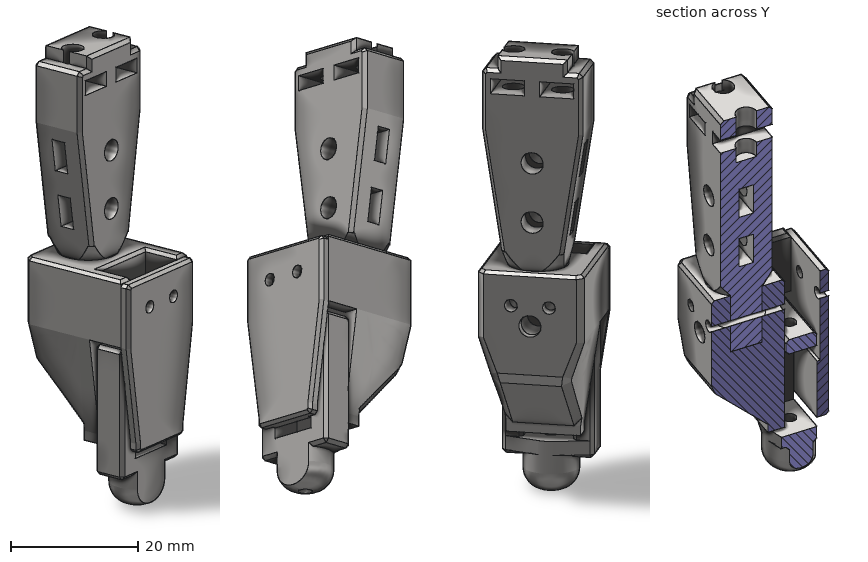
import cadquery as cq
import math


TOTAL_HEIGHT = 74.7
BODY_WIDTH = 17.0
HOUSING_FRONT_X = -10.4
COVER_OUTER_X = 10.4
COVER_INNER_X = 8.8
HOUSING_TOP_Z = 39.9
TAPER_START_Z = 28.8
TAPER_END_Z = 12.25
BODY_BOTTOM_Z = 10.7
BODY_BOTTOM_WIDTH = 11.95
EDGE_CHAMFER = 0.5
SELECT_MARGIN = 0.1
CUT_LENGTH = 149.45

SCREW_DIAMETER = 2.0
SCREW_SPACING = 6.1
SCREW_Z = 34.45
LOCK_HOLE_DIAMETER = 3.5
LOCK_HOLE_Z = 31.2

LEG_X = -4.2
LEG_DEPTH = 9.2
LEG_WIDTH = 16.15
LEG_CHAMFER = 0.6
LEG_SHOULDER_Z = 72.6
LEG_TAPER_Z = 62.55
LEG_BASE_WIDTH = 9.1
TAB_WIDTH = 11.2
NECK_RADIUS = 4.85
NECK_HEIGHT = 2.85
NECK_FLARE_RADIUS = 6.3
LEG_HOLE_DIAMETER = 3.5
CROSS_HOLE_LEVELS = (57.5, 47.8)
TOP_HOLE_SPACING = 7.9
TOP_HOLE_DEPTH = 9.0
NUT_SLOT_LENGTH = 5.45
NUT_SLOT_HEIGHT = 2.5
TOP_SLOT_Z = 69.8

FRONT_CHAMFER = 1.05
SKIRT_FRONT_BOTTOM_Z = 22.2
SKIRT_BACK_TOP_X = 0.4
SKIRT_BACK_BOTTOM_X = -0.4
BLOCK_BACK_X = 2.6
POCKET_WIDTH = 11.95

FOOT_X = 5.5
FOOT_DEPTH = 5.5
FOOT_WIDTH = 14.8
FOOT_BOTTOM_Z = 6.05
FOOT_TOP_Z = 27.7
FOOT_CHAMFER = 0.6
FOOT_BAR_HEIGHT = 2.9
FOOT_WINDOW_WIDTH = 8.1
TIP_RADIUS = 4.5
TIP_DOME_HEIGHT = 3.6
FOOT_HOLE_DIAMETER = 2.2

PAD_WIDTH = 7.9
PAD_TOP_Z = 21.8


def box_between(x_range, y_width, z_range):
    """Box centred on Y = 0 between two X and two Z values."""
    return cq.Workplane("XY").box(
        x_range[1] - x_range[0], y_width, z_range[1] - z_range[0], centered=(False, True, False)
    ).translate((x_range[0], 0, z_range[0]))


def prism_along_x(points, x_start, x_end):
    """Closed (Y, Z) outline carried along X."""
    return cq.Workplane("YZ", origin=(x_start, 0, 0)).polyline(points).close().extrude(x_end - x_start)


def mirrored(points):
    """Complete a (Y, Z) half outline, listed from bottom to top, with its -Y half."""
    return points + [(-y, z) for y, z in reversed(points)]


def cylinder_along_x(diameter, x_start, x_end, y, z):
    return cq.Workplane("YZ", origin=(x_start, y, z)).circle(diameter / 2).extrude(x_end - x_start)


def cylinder_along_z(diameter, x, y, z_start, z_end):
    return cq.Workplane("XY", origin=(x, y, z_start)).circle(diameter / 2).extrude(z_end - z_start)


def screw_holes():
    """Pair of screw holes along X, shared by housing, leg and cover."""
    holes = cq.Workplane("XY")
    for side in (-1, 1):
        holes = holes.add(cylinder_along_x(
            SCREW_DIAMETER, -CUT_LENGTH / 2, CUT_LENGTH / 2, side * SCREW_SPACING / 2, SCREW_Z))
    return holes.combine()


def lock_hole():
    """Blind hole from the housing front to the leg axis."""
    return cylinder_along_x(LOCK_HOLE_DIAMETER, HOUSING_FRONT_X, LEG_X, 0, LOCK_HOLE_Z)


def neck_peg():
    """Round peg at the foot of the leg; it fills the housing bore."""
    return cylinder_along_z(2 * NECK_RADIUS, LEG_X, 0, TAPER_START_Z, HOUSING_TOP_Z)


def leg_blank():
    outline = mirrored([
        (LEG_BASE_WIDTH / 2, HOUSING_TOP_Z),
        (LEG_WIDTH / 2, LEG_TAPER_Z),
        (LEG_WIDTH / 2, LEG_SHOULDER_Z),
        (TAB_WIDTH / 2, LEG_SHOULDER_Z),
        (TAB_WIDTH / 2, TOTAL_HEIGHT),
    ])
    blank = prism_along_x(outline, LEG_X - LEG_DEPTH / 2, LEG_X + LEG_DEPTH / 2)
    shoulder_edges = blank.faces("|Z").edges("|X")
    outer_edges = [edge for edge in shoulder_edges.vals()
                   if abs(edge.Center().y) > LEG_WIDTH / 2 - SELECT_MARGIN]
    blank = blank.newObject(outer_edges).chamfer(LEG_CHAMFER)
    return blank.faces("<X or >X").edges("not <Z").chamfer(LEG_CHAMFER)


def neck_turning():
    """Conical ring that trims the leg's square corners down to the round neck."""
    flare_z = HOUSING_TOP_Z + NECK_HEIGHT
    return (
        cq.Workplane("XZ")
        .polyline([
            (NECK_RADIUS, HOUSING_TOP_Z),
            (NECK_FLARE_RADIUS, flare_z),
            (LEG_WIDTH, flare_z),
            (LEG_WIDTH, HOUSING_TOP_Z),
        ])
        .close()
        .revolve(360, (0, 0, 0), (0, 1, 0))
        .translate((LEG_X, 0, 0))
    )


def make_leg():
    leg = leg_blank().cut(neck_turning()).union(neck_peg())
    for level in CROSS_HOLE_LEVELS:
        leg = leg.cut(cylinder_along_x(LEG_HOLE_DIAMETER, -CUT_LENGTH / 2, CUT_LENGTH / 2, 0, level))
        leg = leg.cut(cq.Workplane("XY").box(
            NUT_SLOT_HEIGHT, CUT_LENGTH, NUT_SLOT_LENGTH).translate((LEG_X, 0, level)))
    for side in (-1, 1):
        y = side * TOP_HOLE_SPACING / 2
        leg = leg.cut(cylinder_along_z(
            LEG_HOLE_DIAMETER, LEG_X, y, TOTAL_HEIGHT - TOP_HOLE_DEPTH, TOTAL_HEIGHT))
        leg = leg.cut(cq.Workplane("XY").box(
            CUT_LENGTH, NUT_SLOT_LENGTH, NUT_SLOT_HEIGHT).translate((LEG_X, y, TOP_SLOT_Z)))
    return leg.cut(screw_holes()).cut(lock_hole())


def ruled_loft(front, back):
    """Straight-sided loft between two closed polygons of (X, Y, Z) points."""
    wires = []
    for points in (front, back):
        corners = [cq.Vector(*point) for point in points]
        wires.append(cq.Wire.makePolygon(corners, close=True))
    return cq.Workplane(cq.Solid.makeLoft(wires, True))


def tapered_outline(bottom_z):
    """Outline whose taper runs down to bottom_z."""
    return mirrored([
        (BODY_BOTTOM_WIDTH / 2, bottom_z),
        (BODY_WIDTH / 2, TAPER_START_Z),
        (BODY_WIDTH / 2, HOUSING_TOP_Z),
    ])


def leaning_section():
    """Leaning section where the ruled skirt meets the flat-sided block."""
    lean = (SKIRT_BACK_TOP_X - SKIRT_BACK_BOTTOM_X) / (TAPER_START_Z - TAPER_END_Z)
    return [(SKIRT_BACK_TOP_X + lean * (z - TAPER_START_Z), y, z) for y, z in tapered_outline(TAPER_END_Z)]


def housing_skirt():
    """Front of the housing: ruled sides, a slope underneath and bevelled edges."""
    front = [(HOUSING_FRONT_X, y, z) for y, z in tapered_outline(SKIRT_FRONT_BOTTOM_Z)]
    skirt = ruled_loft(front, leaning_section())
    slope_edges = skirt.faces("<Z").edges("not |Y")
    front_edges = skirt.faces("<X").edges("not >Z")
    return front_edges.add(slope_edges).chamfer(FRONT_CHAMFER)


def housing_block():
    """Tapered block behind the skirt, with an upright base."""
    back = [(BLOCK_BACK_X, y, z) for y, z in tapered_outline(TAPER_END_Z)]
    base = box_between((SKIRT_BACK_BOTTOM_X, BLOCK_BACK_X), BODY_BOTTOM_WIDTH, (BODY_BOTTOM_Z, TAPER_END_Z))
    return ruled_loft(leaning_section(), back).union(base)


def make_housing():
    upper = box_between((SKIRT_BACK_BOTTOM_X, COVER_INNER_X), BODY_WIDTH, (TAPER_START_Z, HOUSING_TOP_Z))
    housing = housing_skirt().union(housing_block()).union(upper)
    housing = housing.cut(box_between(
        (BLOCK_BACK_X, COVER_INNER_X), POCKET_WIDTH, (TAPER_START_Z, HOUSING_TOP_Z)))
    housing = housing.faces(">Z").edges().chamfer(EDGE_CHAMFER)
    return housing.cut(neck_peg()).cut(screw_holes()).cut(lock_hole())


def make_cover():
    """Plate level with the lower edge of the housing's top chamfer, with a pad behind the foot."""
    outline = mirrored([
        (BODY_BOTTOM_WIDTH / 2, BODY_BOTTOM_Z),
        (BODY_BOTTOM_WIDTH / 2, TAPER_END_Z),
        (BODY_WIDTH / 2, TAPER_START_Z),
        (BODY_WIDTH / 2, HOUSING_TOP_Z - EDGE_CHAMFER),
    ])
    plate = prism_along_x(outline, COVER_INNER_X, COVER_OUTER_X)
    plate = plate.faces(">Z or <Z").edges("|X").chamfer(EDGE_CHAMFER)
    plate = plate.faces(">X").edges().chamfer(EDGE_CHAMFER)
    pad = box_between((FOOT_X + FOOT_DEPTH / 2, COVER_INNER_X), PAD_WIDTH, (BODY_BOTTOM_Z, PAD_TOP_Z))
    return plate.union(pad).cut(screw_holes())


def foot_gusset(front_x):
    """Wedge from the frame's front corners, tangent to the round tip."""
    corner_y = FOOT_WIDTH / 2 - FOOT_CHAMFER
    corner_distance = math.hypot(FOOT_X - front_x, corner_y)
    corner_angle = math.atan2(corner_y, FOOT_X - front_x)
    tangent_angle = corner_angle - math.acos(TIP_RADIUS / corner_distance)
    tangent_x = FOOT_X - TIP_RADIUS * math.cos(tangent_angle)
    tangent_y = TIP_RADIUS * math.sin(tangent_angle)
    return (
        cq.Workplane("XY", origin=(0, 0, FOOT_BOTTOM_Z + FOOT_CHAMFER))
        .polyline([
            (front_x, corner_y),
            (tangent_x, tangent_y),
            (tangent_x, -tangent_y),
            (front_x, -corner_y),
            (FOOT_X, 0),
        ])
        .close()
        .extrude(FOOT_BAR_HEIGHT - FOOT_CHAMFER)
    )


def make_foot():
    front_x = FOOT_X - FOOT_DEPTH / 2
    back_x = FOOT_X + FOOT_DEPTH / 2
    frame = box_between((front_x, back_x), FOOT_WIDTH, (FOOT_BOTTOM_Z, FOOT_TOP_Z))
    frame = frame.edges().chamfer(FOOT_CHAMFER)
    window_bottom = FOOT_BOTTOM_Z + FOOT_BAR_HEIGHT
    window_top = FOOT_TOP_Z - FOOT_BAR_HEIGHT
    frame = frame.cut(box_between((front_x, back_x), FOOT_WINDOW_WIDTH, (window_bottom, window_top)))
    window_sides = cq.selectors.BoxSelector(
        (front_x - SELECT_MARGIN, -FOOT_WINDOW_WIDTH / 2 - SELECT_MARGIN, window_bottom + SELECT_MARGIN),
        (front_x + SELECT_MARGIN, FOOT_WINDOW_WIDTH / 2 + SELECT_MARGIN, window_top + SELECT_MARGIN))
    frame = frame.edges(window_sides).chamfer(FOOT_CHAMFER)
    tip = cylinder_along_z(2 * TIP_RADIUS, FOOT_X, 0, 0, window_bottom)
    tip = tip.faces("<Z").edges().fillet(TIP_DOME_HEIGHT)
    tip = tip.cut(box_between((back_x, back_x + TIP_RADIUS), BODY_WIDTH, (0, window_bottom)))
    foot = frame.union(tip).union(foot_gusset(front_x))
    return foot.cut(cylinder_along_z(FOOT_HOLE_DIAMETER, FOOT_X, 0, 0, FOOT_TOP_Z))


leg = make_leg()
housing = make_housing()
cover = make_cover()
foot = make_foot()
result = cq.Compound.makeCompound([leg.val(), housing.val(), cover.val(), foot.val()])